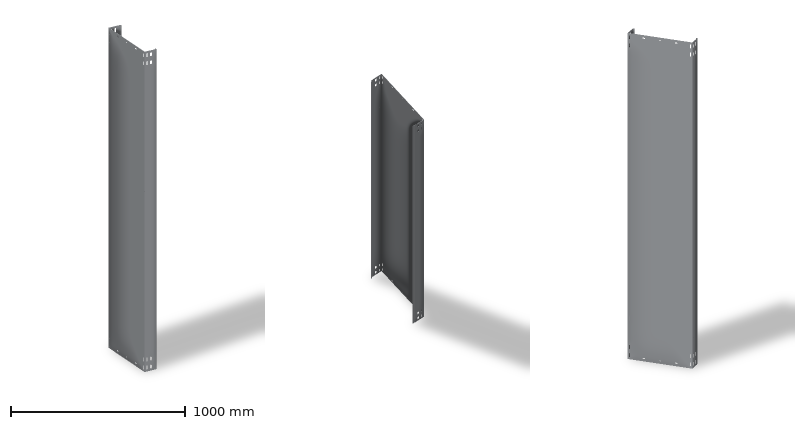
import cadquery as cq

width = 400.0
depth = 80.0
height = 2000.0
sheet = 1.5

roll_radius = 4.0
step_inset = 1.0
step_run = 0.85
step_from_back = 13.3

slot_length = 25.0
narrow_slot_width = 7.0
wide_slot_width = 12.0
slot_from_ends = (25.0, 75.0)
web_slot_from_side = 12.0
narrow_wall_slot_from_front = 17.0
wide_wall_slot_from_front = 43.0

row_from_end = 18.0
row_spacing = 100.0
row_slot_length = 16.0

left = -width / 2
front = -depth / 2
back = depth / 2
step_start = back - step_from_back


def make_wall():
    """Left wall: a small inward step near the rear, then an edge rolled inward by a half circle."""
    rear_face = left + step_inset
    step_end = step_start + step_run
    roll_start = back - roll_radius
    roll_middle = rear_face + roll_radius
    inner_radius = roll_radius - sheet
    return (
        cq.Workplane("XY")
        .moveTo(left, front)
        .lineTo(left, step_start)
        .lineTo(rear_face, step_end)
        .lineTo(rear_face, roll_start)
        .threePointArc((roll_middle, back), (roll_middle + roll_radius, roll_start))
        .lineTo(roll_middle + inner_radius, roll_start)
        .threePointArc((roll_middle, roll_start + inner_radius), (rear_face + sheet, roll_start))
        .lineTo(rear_face + sheet, step_end)
        .lineTo(left + sheet, step_start)
        .lineTo(left + sheet, front)
        .close()
        .extrude(height)
    )


def make_channel():
    """Front web joined to a wall on each side."""
    web = cq.Workplane("XY").box(width, sheet, height, centered=(True, False, False))
    wall = make_wall()
    return web.translate((0, front, 0)).union(wall).union(wall.mirror("YZ"))


def at_both_ends(distances):
    """Heights at the given distances from the bottom and from the top."""
    return [z for distance in distances for z in (distance, height - distance)]


def web_cutter():
    """Tools for every opening in the front web, stopping short of the rear edges."""
    plane = cq.Workplane("XZ", origin=(0, front + 2 * sheet, 0))
    through = 3 * sheet
    row_levels = at_both_ends([row_from_end])
    edge = width / 2 - web_slot_from_side
    middles = [(0, z) for z in row_levels]
    row_slots = [(x, z) for x in (-row_spacing, row_spacing) for z in row_levels]
    side_slots = [(x, z) for x in (-edge, edge) for z in at_both_ends(slot_from_ends)]
    holes = plane.pushPoints(middles).circle(narrow_slot_width / 2).extrude(through)
    across = plane.pushPoints(row_slots).slot2D(row_slot_length, narrow_slot_width).extrude(through)
    upright = plane.pushPoints(side_slots).slot2D(slot_length, narrow_slot_width, 90).extrude(through)
    return holes.union(across).union(upright)


def wall_cutter(from_front, slot_width):
    """Upright slots through both walls at one distance from the front."""
    points = [(front + from_front, z) for z in at_both_ends(slot_from_ends)]
    plane = cq.Workplane("YZ", origin=(-width, 0, 0))
    return plane.pushPoints(points).slot2D(slot_length, slot_width, 90).extrude(2 * width)


result = (
    make_channel()
    .cut(web_cutter())
    .cut(wall_cutter(narrow_wall_slot_from_front, narrow_slot_width))
    .cut(wall_cutter(wide_wall_slot_from_front, wide_slot_width))
)